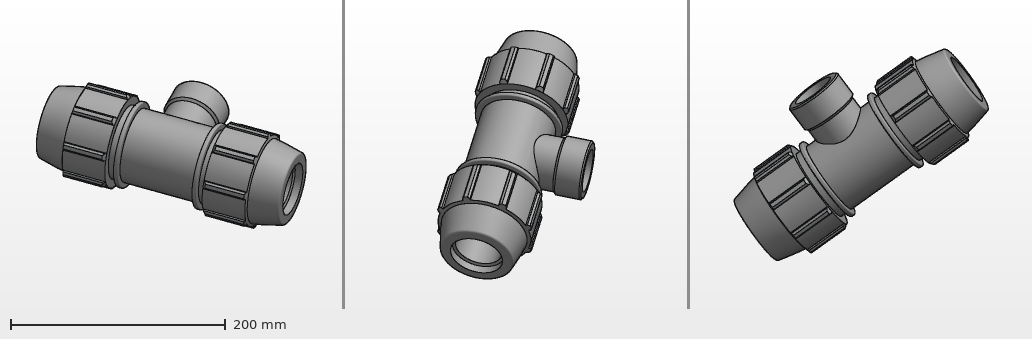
import cadquery as cq

length = 244.0
pipe_radius = 72.0 / 2
bore_radius = 45.0 / 2
socket_radius = 50.0 / 2
socket_depth = 7.5
shoulder_length = 1.5

ring_radius = 83.5 / 2
ring_start = 80.3
ring_width = 4.6
ring_fillet = 1.2

nose_radius = 35.0
nose_fillet = 2.2
cone_bulge = 0.5
cone_end_radius = 41.2
nut_start = 29.3
nut_end = 73.2
nut_radius = 44.7
nut_face_slope = 0.3

rib_count = 8
rib_tip_radius = 48.0
rib_width = 7.8
rib_edge_bevel = 2.0
rib_end_bevel = 3.0

branch_end = 76.1
branch_radius = 56.0 / 2
neck_radius = 51.5 / 2
branch_bore_radius = 40.5 / 2
collar_length = 27.0
collar_chamfer = 1.5


def cylinder_x(radius, start, end):
    return cq.Workplane("YZ", origin=(start, 0, 0)).circle(radius).extrude(end - start)


def revolve_x(profile):
    return profile.close().revolve(360, (0, 0, 0), (1, 0, 0))


def revolve_y(profile):
    return profile.close().revolve(360, (0, 0, 0), (0, 1, 0)).translate((length / 2, 0, 0))


def nut_face_x(radius):
    """X position of the slightly conical outer face of the nut at a given radius."""
    return nut_start + nut_face_slope * (radius - cone_end_radius)


def nut_body():
    cone_middle = (nut_start / 2, (nose_radius + cone_end_radius) / 2 + cone_bulge)
    profile = (
        cq.Workplane("XY")
        .lineTo(0, nose_radius)
        .threePointArc(cone_middle, (nut_start, cone_end_radius))
        .lineTo(nut_face_x(nut_radius), nut_radius)
        .lineTo(nut_end, nut_radius)
        .lineTo(nut_end, 0)
    )
    return revolve_x(profile).faces("<X").edges().fillet(nose_fillet)


def nut_ribs():
    bar_height = 2 * rib_tip_radius
    bar = (
        cq.Workplane("YZ", origin=(nut_start, 0, 0))
        .rect(bar_height, rib_width)
        .extrude(nut_end - nut_start)
        .edges("|X")
        .chamfer(rib_edge_bevel)
    )
    envelope = revolve_x(
        cq.Workplane("XY")
        .moveTo(nut_start, 0)
        .lineTo(nut_start, cone_end_radius)
        .lineTo(nut_face_x(rib_tip_radius), rib_tip_radius)
        .lineTo(nut_end - rib_end_bevel, rib_tip_radius)
        .lineTo(nut_end, nut_radius)
        .lineTo(nut_end, 0)
    )
    pitch = 360 / rib_count
    ribs = cq.Workplane("XY")
    for index in range(rib_count // 2):
        ribs = ribs.union(bar.rotate((0, 0, 0), (1, 0, 0), (index + 0.5) * pitch))
    return ribs.intersect(envelope)


def flange_ring():
    return cylinder_x(ring_radius, ring_start, ring_start + ring_width).edges().fillet(ring_fillet)


def branch():
    collar_start = branch_end - collar_length
    profile = (
        cq.Workplane("XY")
        .lineTo(neck_radius, 0)
        .lineTo(neck_radius, collar_start)
        .lineTo(branch_radius, collar_start + branch_radius - neck_radius)
        .lineTo(branch_radius, branch_end - collar_chamfer)
        .lineTo(branch_radius - collar_chamfer, branch_end)
        .lineTo(0, branch_end)
    )
    return revolve_y(profile)


def end_socket():
    """Pipe socket with a conical shoulder down to the main bore."""
    return revolve_x(
        cq.Workplane("XY")
        .lineTo(0, socket_radius)
        .lineTo(socket_depth, socket_radius)
        .lineTo(socket_depth + shoulder_length, bore_radius)
        .lineTo(socket_depth + shoulder_length, 0)
    )


def with_opposite(shape):
    return shape.union(shape.mirror("YZ", (length / 2, 0, 0)))


end_fitting = nut_body().union(nut_ribs()).union(flange_ring())
pipe = cylinder_x(pipe_radius, nut_start, length - nut_start)
bore = cylinder_x(bore_radius, 0, length)
branch_bore = cq.Workplane("XZ", origin=(length / 2, 0, 0)).circle(branch_bore_radius).extrude(-branch_end)

outside = pipe.union(with_opposite(end_fitting)).union(branch())
result = outside.cut(bore).cut(with_opposite(end_socket())).cut(branch_bore)